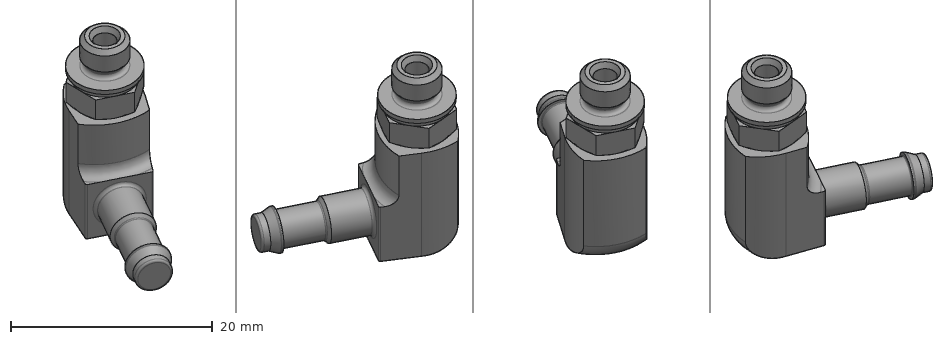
import cadquery as cq
import math


body_bottom = -3.74
body_top = 9.6
body_reach = 4.0
crown_radius = 7.2
front_crown_radius = 7.6
side_taper = math.radians(6.1)
spigot_face_x = 5.03
spigot_face_edge_radius = 0.2
bottom_back_radius = 2.25
shoulder_z = 3.28
shoulder_fillet = 1.22
crown_offset = crown_radius - body_reach

swivel_neck_radius = 2.28
swivel_neck_fillet = 0.2
hex_across_flats = 7.0
hex_bottom = 9.84
hex_top = 12.68
hex_bevel_angle = math.radians(30)
hex_half_side_angle = 30

collar_radius = 7.0 / 2
flange_radius = 7.8 / 2
flange_bottom = 13.37
flange_top = 13.89
undercut_radius = 4.02 / 2
undercut_flange_fillet = 0.47
undercut_thread_fillet = 0.34
thread_radius = 5.0 / 2
thread_bottom = 15.1
thread_end_radius = 4.0 / 2
stem_top = 17.66

bore_radius = 2.4 / 2
bore_mouth_radius = 3.1 / 2
bore_mouth_half_angle = math.radians(30)
bore_floor = 0.0

root_radius = 4.8 / 2
root_fillet = 0.36
root_end = 9.6
hose_seat_radius = 4.0 / 2
hose_seat_fillet = 0.2
barb_start = 14.55
barb_radius = 4.8 / 2
barb_land_end = 14.77
barb_root_fillet = 0.08
barb_crest_rounding = 0.2
barb_end = 15.77
tip_radius = 3.9 / 2
tip_end = 16.7
tip_rounding = 0.25

OVERLAP = 0.5


def round_circle(solid, axis, along, radius, fillet):
    """Fillet the circular edge of the given radius at the given place along X or Z."""
    tolerance = 0.02

    def is_wanted(edge):
        center = edge.Center()
        place = center.x if axis == "X" else center.z
        matches_place = abs(place - along) < tolerance
        return matches_place and abs(edge.radius() - radius) < tolerance

    edges = solid.edges("%CIRCLE").vals()
    wanted = [edge for edge in edges if is_wanted(edge)]
    return solid.newObject(wanted).fillet(fillet)


def turned(profile, axis):
    """Turn (place along axis, radius) points about the X or the Z axis."""
    start = (profile[0][0], 0)
    end = (profile[-1][0], 0)
    outline = [start] + profile + [end]
    if axis == "X":
        return cq.Workplane("XY").polyline(outline).close().revolve(360, (0, 0), (1, 0))
    swapped = [(radius, z) for z, radius in outline]
    return cq.Workplane("XZ").polyline(swapped).close().revolve(360, (0, 0), (0, 1))


def body_prism():
    """Full-height prism: crowned back, crowned sides running into tapered flanks."""
    corner = (math.sqrt(2 * crown_radius ** 2 - crown_offset ** 2) - crown_offset) / 2
    flank_x = crown_radius * math.sin(side_taper)
    flank_y = crown_radius * math.cos(side_taper) - crown_offset
    face_y = flank_y - (spigot_face_x - flank_x) * math.tan(side_taper)
    prism = (
        cq.Workplane("XY", origin=(0, 0, body_bottom))
        .moveTo(-corner, -corner)
        .threePointArc((0, -body_reach), (flank_x, -flank_y))
        .lineTo(spigot_face_x, -face_y)
        .lineTo(spigot_face_x, face_y)
        .lineTo(flank_x, flank_y)
        .threePointArc((0, body_reach), (-corner, corner))
        .threePointArc((-body_reach, 0), (-corner, -corner))
        .close()
        .extrude(body_top - body_bottom)
    )
    return prism.edges("|Z and >X").fillet(spigot_face_edge_radius)


def rounded_back():
    """Round bar on the back crown with its bottom edge rounded; it trims the prism."""
    return (
        cq.Workplane("XY", origin=(crown_offset, 0, body_bottom))
        .circle(crown_radius)
        .extrude(body_top - body_bottom)
        .faces("<Z").edges().fillet(bottom_back_radius)
    )


def front_cutter():
    """Ring around the front crown, above the shoulder, with a hollow rounding below."""
    height = body_top - shoulder_z
    center_x = body_reach - front_crown_radius
    keep = (
        cq.Workplane("XY", origin=(center_x, 0, shoulder_z - OVERLAP))
        .circle(2 * front_crown_radius).extrude(OVERLAP)
        .faces(">Z").workplane().circle(front_crown_radius).extrude(height)
    )
    keep = round_circle(keep, "Z", shoulder_z, front_crown_radius, shoulder_fillet)
    block = cq.Workplane("XY", origin=(0, 0, shoulder_z)).box(
        2 * spigot_face_x, 3 * body_reach, height, centered=(False, True, False)
    )
    return block.cut(keep)


def make_body():
    return body_prism().intersect(rounded_back()).cut(front_cutter())


def make_hexagon():
    """Hexagon with flats facing +X and -X, bevelled at its lower corners."""
    across_corners = hex_across_flats / math.cos(math.radians(hex_half_side_angle))
    height = hex_top - hex_bottom
    hexagon = (
        cq.Workplane("XY", origin=(0, 0, hex_bottom))
        .transformed(rotate=(0, 0, hex_half_side_angle))
        .polygon(6, across_corners)
        .extrude(height)
    )
    bevel_inner_radius = hex_across_flats / 2
    bevel_outer_radius = across_corners / 2 + OVERLAP
    bevel_height = (bevel_outer_radius - bevel_inner_radius) * math.tan(hex_bevel_angle)
    bevelled_bar = turned(
        [
            (hex_bottom, bevel_inner_radius),
            (hex_bottom + bevel_height, bevel_outer_radius),
            (hex_top, bevel_outer_radius),
        ],
        "Z",
    )
    return hexagon.intersect(bevelled_bar)


def make_swivel_neck():
    """Short neck between body and hexagon, flaring out under the hexagon."""
    neck = turned(
        [
            (body_top - OVERLAP, swivel_neck_radius),
            (hex_bottom, swivel_neck_radius),
            (hex_bottom, collar_radius),
            (hex_bottom + OVERLAP, collar_radius),
        ],
        "Z",
    )
    return round_circle(neck, "Z", hex_bottom, swivel_neck_radius, swivel_neck_fillet)


def make_stem():
    """Collar, flange, undercut and thread body above the hexagon."""
    thread_chamfer = thread_radius - thread_end_radius
    undercut_cone_end = thread_bottom - (thread_radius - undercut_radius)
    stem = turned(
        [
            (hex_top - OVERLAP, collar_radius),
            (flange_bottom, collar_radius),
            (flange_bottom, flange_radius),
            (flange_top, flange_radius),
            (flange_top, undercut_radius),
            (undercut_cone_end, undercut_radius),
            (thread_bottom, thread_radius),
            (stem_top - thread_chamfer, thread_radius),
            (stem_top, thread_end_radius),
        ],
        "Z",
    )
    stem = round_circle(stem, "Z", flange_top, undercut_radius, undercut_flange_fillet)
    return round_circle(stem, "Z", undercut_cone_end, undercut_radius, undercut_thread_fillet)


def make_bore():
    """Blind bore down the stem with a countersunk mouth."""
    countersink = (bore_mouth_radius - bore_radius) / math.tan(bore_mouth_half_angle)
    return turned(
        [
            (bore_floor, bore_radius),
            (stem_top - countersink, bore_radius),
            (stem_top, bore_mouth_radius),
        ],
        "Z",
    )


def make_spigot():
    """Stepped hose spigot with a barb near its tip."""
    inner_x = spigot_face_x - OVERLAP
    foot_radius = root_radius + root_fillet + OVERLAP
    root_cone_end = root_end + root_radius - hose_seat_radius
    spigot = turned(
        [
            (inner_x, foot_radius),
            (spigot_face_x, foot_radius),
            (spigot_face_x, root_radius),
            (root_end, root_radius),
            (root_cone_end, hose_seat_radius),
            (barb_start, hose_seat_radius),
            (barb_start, barb_radius),
            (barb_land_end, barb_radius),
            (barb_end, tip_radius),
            (tip_end, tip_radius),
        ],
        "X",
    )
    roundings = [
        (spigot_face_x, root_radius, root_fillet),
        (root_cone_end, hose_seat_radius, hose_seat_fillet),
        (barb_start, hose_seat_radius, barb_root_fillet),
        (barb_land_end, barb_radius, barb_crest_rounding),
        (tip_end, tip_radius, tip_rounding),
    ]
    for along, radius, fillet in roundings:
        spigot = round_circle(spigot, "X", along, radius, fillet)
    return spigot


result = (
    make_body()
    .union(make_spigot())
    .union(make_swivel_neck())
    .union(make_hexagon())
    .union(make_stem())
    .cut(make_bore())
)